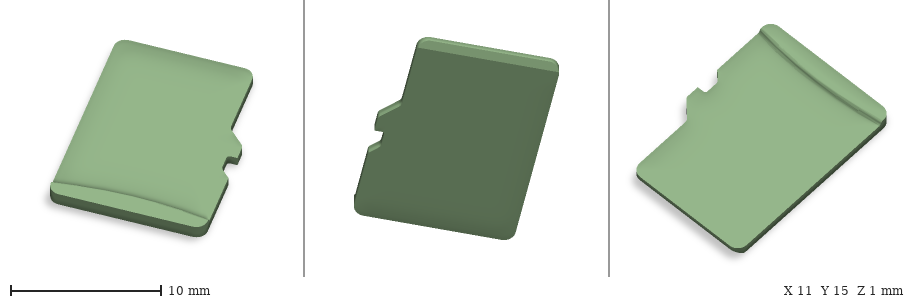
import cadquery as cq
import math

WIDTH = 11.0
LENGTH = 15.0
BODY_THICKNESS = 0.7
GRIP_THICKNESS = 1.0
CORNER_RADIUS = 0.8

NARROW_WIDTH = 9.7
SHOULDER_Y = 8.23
SHOULDER_INNER_RADIUS = 0.5
SHOULDER_OUTER_RADIUS = 0.4
NOTCH_DEPTH = 0.7
NOTCH_TOP_Y = 7.1
NOTCH_BOTTOM_Y = 5.2
NOTCH_TOP_RADIUS = 0.2
NOTCH_BOTTOM_RADIUS = 0.4

GRIP_RADIUS = 32.3
GRIP_CROWN_Y = 1.495
GRIP_RAMP_RUN = 0.4

BEVEL_LENGTH = 0.52
BEVEL_HEIGHT = 0.3


def round_vertical_edge(body, x, y, radius):
    """Fillet the one vertical edge that stands at (x, y)."""
    reach = 0.01
    box = cq.selectors.BoxSelector(
        (x - reach, y - reach, -GRIP_THICKNESS),
        (x + reach, y + reach, 2 * GRIP_THICKNESS),
    )
    return body.edges("|Z").edges(box).fillet(radius)


def make_blank():
    """Card outline at full grip thickness, with every corner rounded."""
    notch_x = WIDTH - NOTCH_DEPTH
    shoulder_top_y = SHOULDER_Y + WIDTH - NARROW_WIDTH
    notch_slant_y = NOTCH_BOTTOM_Y + NOTCH_DEPTH
    outline = [
        (0, 0),
        (WIDTH, 0),
        (WIDTH, NOTCH_BOTTOM_Y),
        (notch_x, notch_slant_y),
        (notch_x, NOTCH_TOP_Y),
        (WIDTH, NOTCH_TOP_Y),
        (WIDTH, SHOULDER_Y),
        (NARROW_WIDTH, shoulder_top_y),
        (NARROW_WIDTH, LENGTH),
        (0, LENGTH),
    ]
    rounded_corners = [
        (0, 0, CORNER_RADIUS),
        (WIDTH, 0, CORNER_RADIUS),
        (NARROW_WIDTH, LENGTH, CORNER_RADIUS),
        (0, LENGTH, CORNER_RADIUS),
        (notch_x, notch_slant_y, NOTCH_BOTTOM_RADIUS),
        (notch_x, NOTCH_TOP_Y, NOTCH_TOP_RADIUS),
        (WIDTH, SHOULDER_Y, SHOULDER_OUTER_RADIUS),
        (NARROW_WIDTH, shoulder_top_y, SHOULDER_INNER_RADIUS),
    ]
    blank = cq.Workplane("XY").polyline(outline).close().extrude(GRIP_THICKNESS)
    for x, y, radius in rounded_corners:
        blank = round_vertical_edge(blank, x, y, radius)
    return blank


def make_grip_clearance():
    """Ring-shaped space above the body, leaving the curved grip in front.

    The ramp is an S-curve of two equal arcs, level at its foot and its crest,
    turned about a vertical axis so that the grip bows toward the rear.
    """
    half_run = GRIP_RAMP_RUN / 2
    half_rise = (GRIP_THICKNESS - BODY_THICKNESS) / 2
    mid_z = BODY_THICKNESS + half_rise
    ramp_radius = (half_run**2 + half_rise**2) / (2 * half_rise)
    half_angle = math.asin(half_run / ramp_radius) / 2
    arc_run = ramp_radius * math.sin(half_angle)
    arc_rise = ramp_radius * (1 - math.cos(half_angle))

    crest = (GRIP_RADIUS - half_run, GRIP_THICKNESS)
    crest_arc_point = (crest[0] + arc_run, GRIP_THICKNESS - arc_rise)
    foot = (GRIP_RADIUS + half_run, BODY_THICKNESS)
    foot_arc_point = (foot[0] - arc_run, BODY_THICKNESS + arc_rise)
    rim = GRIP_RADIUS + LENGTH
    roof = GRIP_THICKNESS + BODY_THICKNESS

    ring = (
        cq.Workplane("XZ")
        .moveTo(*crest)
        .threePointArc(crest_arc_point, (GRIP_RADIUS, mid_z))
        .threePointArc(foot_arc_point, foot)
        .lineTo(rim, BODY_THICKNESS)
        .lineTo(rim, roof)
        .lineTo(crest[0], roof)
        .close()
        .revolve(360, (0, 0, 0), (0, 1, 0))
    )
    return ring.translate((WIDTH / 2, GRIP_CROWN_Y - GRIP_RADIUS, 0))


def make_rear_bevel():
    """Wedge removed from the underside of the rear edge."""
    return (
        cq.Workplane("YZ")
        .polyline([(LENGTH - BEVEL_LENGTH, 0), (LENGTH, 0), (LENGTH, BEVEL_HEIGHT)])
        .close()
        .extrude(WIDTH)
    )


result = make_blank().cut(make_grip_clearance()).cut(make_rear_bevel())